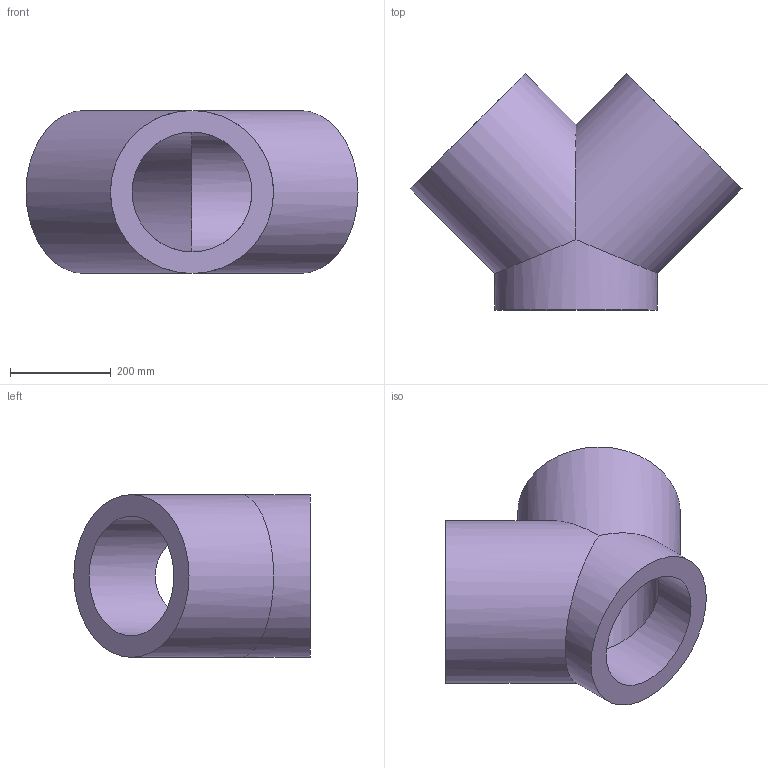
import cadquery as cq

outer_diameter = 323.85
bore_diameter = 238.15
inlet_length = 139.7
branch_length = 304.8
branch_angle = 45.0

legs = [
    (inlet_length, 180.0),
    (branch_length, branch_angle),
    (branch_length, -branch_angle),
]


def leg_cylinder(diameter, length, angle):
    """Cylinder from the junction outwards along its leg axis."""
    along_y = cq.Workplane("XZ").circle(diameter / 2).extrude(-length)
    return along_y.rotate((0, 0, 0), (0, 0, 1), angle)


def wye(diameter):
    """Three equal cylinders joined at the origin, which meet in mitre planes."""
    body = cq.Workplane("XY")
    for length, angle in legs:
        body = body.add(leg_cylinder(diameter, length, angle))
    return body.combine()


result = wye(outer_diameter).cut(wye(bore_diameter))